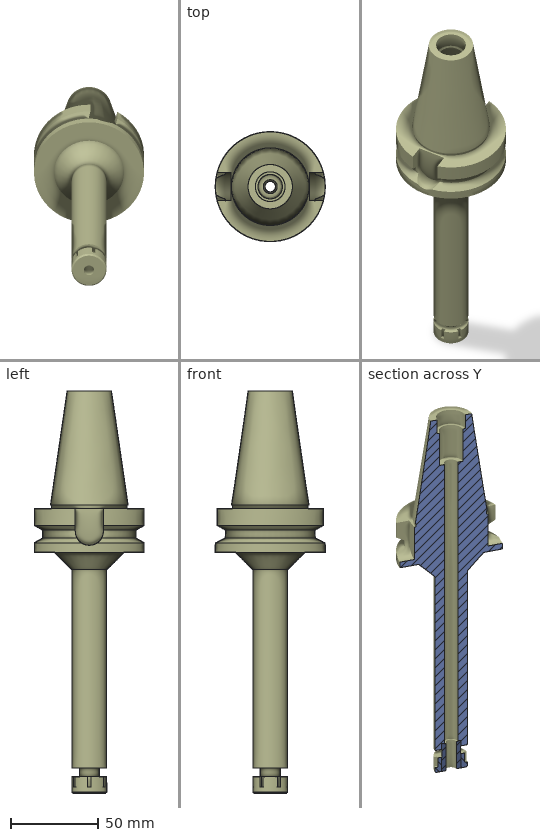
import cadquery as cq
import math


gauge_diameter = 44.45
taper_length = 65.4
taper_ratio = 7 / 24
gauge_radius = gauge_diameter / 2
taper_end_radius = gauge_radius - taper_ratio * taper_length / 2

relief_radius = 21.7
flange_radius = 31.5
flange_top = -2.0
flange_bottom = -27.0
groove_middle = -16.6
groove_mouth_width = 10.0
groove_half_angle = math.radians(30)
groove_floor_radius = 26.8
groove_mouth_half = groove_mouth_width / 2
groove_depth = flange_radius - groove_floor_radius
groove_floor_half = groove_mouth_half - groove_depth * math.tan(groove_half_angle)

keyway_width = 16.1
keyway_floor_offset = 22.6
keyway_bottom = -23.0

extension_radius = 10.0
collar_radius = 20.0
collar_bottom = flange_bottom - (collar_radius - extension_radius)
extension_bottom = -150.6

drawbar_bore_radius = 8.5
drawbar_bore_depth = 9.0
thread_bore_radius = 7.0
thread_bore_depth = 30.0
coolant_bore_radius = 4.0

nut_radius = 10.0
nut_top = -155.4
nut_bottom = -165.0
nut_chamfer = 0.8
wrench_slot_count = 6
wrench_slot_width = 2.0
wrench_slot_depth = 1.8
wrench_slot_length = 6.0

collet_radius = 5.75
collet_length = 18.0
collet_bore_radius = 3.0
collet_bottom = nut_bottom
collet_top = collet_bottom + collet_length


def cylinder(radius, bottom, top):
    return cq.Workplane("XY").workplane(offset=bottom).circle(radius).extrude(top - bottom)


def make_holder_blank():
    """Taper, grooved flange, conical collar and extension, revolved about Z."""
    profile = [
        (0, taper_length),
        (taper_end_radius, taper_length),
        (gauge_radius, 0),
        (relief_radius, 0),
        (relief_radius, flange_top),
        (flange_radius, flange_top),
        (flange_radius, groove_middle + groove_mouth_half),
        (groove_floor_radius, groove_middle + groove_floor_half),
        (groove_floor_radius, groove_middle - groove_floor_half),
        (flange_radius, groove_middle - groove_mouth_half),
        (flange_radius, flange_bottom),
        (collar_radius, flange_bottom),
        (extension_radius, collar_bottom),
        (extension_radius, extension_bottom),
        (0, extension_bottom),
    ]
    return cq.Workplane("YZ").polyline(profile).close().revolve(360, (0, 0, 0), (0, 1, 0))


def make_keyway():
    """Cutter for the +X keyway: open at the flange top, with a round lower end."""
    half_width = keyway_width / 2
    arc_centre = keyway_bottom + half_width
    return (
        cq.Workplane("YZ")
        .workplane(offset=keyway_floor_offset)
        .moveTo(-half_width, flange_top)
        .lineTo(-half_width, arc_centre)
        .threePointArc((0, keyway_bottom), (half_width, arc_centre))
        .lineTo(half_width, flange_top)
        .close()
        .extrude(flange_radius)
    )


def make_holder():
    holder = make_holder_blank()
    for angle in (0, 180):
        holder = holder.cut(make_keyway().rotate((0, 0, 0), (0, 0, 1), angle))
    holder = holder.cut(cylinder(drawbar_bore_radius, taper_length - drawbar_bore_depth, taper_length))
    holder = holder.cut(cylinder(thread_bore_radius, taper_length - thread_bore_depth, taper_length))
    holder = holder.cut(cylinder(coolant_bore_radius, extension_bottom, taper_length))
    return holder.cut(cylinder(collet_radius, extension_bottom, collet_top))


def make_nut():
    """Ring around the collet, with wrench slots open at its upper face."""
    nut = cylinder(nut_radius, nut_bottom, nut_top).faces("<Z").edges().chamfer(nut_chamfer)
    slot = (
        cq.Workplane("XY")
        .box(2 * wrench_slot_depth, wrench_slot_width, 2 * wrench_slot_length)
        .translate((nut_radius, 0, nut_top))
    )
    for index in range(wrench_slot_count):
        angle = index * 360 / wrench_slot_count
        nut = nut.cut(slot.rotate((0, 0, 0), (0, 0, 1), angle))
    return nut.cut(cylinder(collet_radius, nut_bottom, nut_top))


def make_collet():
    """Plain sleeve that joins the extension and the nut."""
    return cylinder(collet_radius, collet_bottom, collet_top).cut(
        cylinder(collet_bore_radius, collet_bottom, collet_top)
    )


holder = make_holder()
nut = make_nut()
collet = make_collet()

result = cq.Compound.makeCompound([holder.val(), nut.val(), collet.val()])